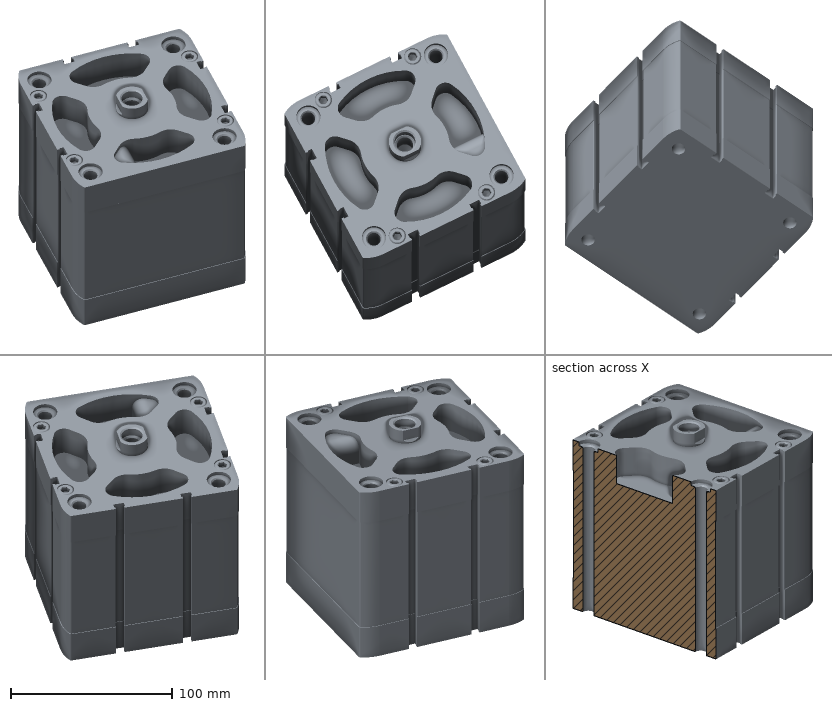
import cadquery as cq
import math

TOTAL_HEIGHT = 126.0
SIDE = 113.5
ROD_STANDOUT = 9.0
CAP_HEIGHT = 21.3
BARREL_INSET = 0.4

CORNER_CENTER_X = 44.5
CORNER_RADIUS = 22.9
CORNER_ROUND = 1.3

SLOT_OFFSET = 21.4
SLOT_LIP_WIDTH = 5.5
SLOT_INNER_WIDTH = 6.8
SLOT_LIP_DEPTH = 1.6
SLOT_DEPTH = 4.5
SLOT_CHAMFER = 0.3

POCKET_OUTER_RADIUS = 49.6
POCKET_INNER_RADIUS = 27.7
POCKET_WEB = 13.5
POCKET_DEPTH = 19.5
POCKET_OUTER_ROUND = 6.3
POCKET_INNER_ROUND = 10.7

BOSS_SIDE_Y = -12.0
BOSS_DROP = 2.9
BOSS_ROUND = 8.0

MOUNT_OFFSET = 44.5
MOUNT_RECESS_DIAMETER = 15.0
MOUNT_RECESS_DEPTH = 2.5
MOUNT_MOUTH_DIAMETER = 10.0
MOUNT_HOLE_DIAMETER = 8.3

SCREW_X = 31.1
SCREW_Y = 50.1
SCREW_SEAT_DIAMETER = 10.7
SCREW_FACE_DIAMETER = 9.0
SCREW_MOUTH_DIAMETER = 6.0
SCREW_HEX = 5.0
SCREW_SOCKET_DEPTH = 3.8
SCREW_TIP_DEPTH = 1.0

ROD_DIAMETER = 20.0
ROD_FLATS = 17.0
ROD_FLAT_HEIGHT = 6.8
ROD_MOUTH_DIAMETER = 15.0
ROD_RECESS_DIAMETER = 13.0
ROD_MOUTH_DEPTH = 0.6
ROD_RECESS_DEPTH = 5.9
ROD_THREAD_DIAMETER = 12.0
ROD_CORE_DIAMETER = 10.1
ROD_HOLE_DEPTH = 20.2

HALF_SIDE = SIDE / 2
HOUSING_TOP = TOTAL_HEIGHT - ROD_STANDOUT
ROD_BOTTOM = HOUSING_TOP - CAP_HEIGHT
BARREL_HEIGHT = HOUSING_TOP - 2 * CAP_HEIGHT
HEX_ANGLE = 30
DRILL_POINT_SLOPE = math.tan(math.radians(30))


def revolved(profile, x=0, y=0):
    """Solid of revolution about a vertical axis from (radius, z) points."""
    return cq.Workplane("XZ").polyline(profile).close().revolve(360, (0, 0), (0, 1)).translate((x, y, 0))


def prism(points, bottom, height):
    """Upright prism over a closed polygon."""
    return cq.Workplane("XY").workplane(offset=bottom).polyline(points).close().extrude(height)


def rotated(body, angle):
    """Copy of a body, rotated about the Z axis."""
    return body.rotate((0, 0, 0), (0, 0, 1), angle)


def housing_block(inset, bottom, height):
    """Prism with the housing outline, shrunk by `inset` on every side."""
    half = HALF_SIDE - inset
    radius = CORNER_RADIUS - inset
    center_y = HALF_SIDE - CORNER_RADIUS
    end_y = center_y + math.sqrt(radius**2 - (half - CORNER_CENTER_X) ** 2)

    outline = (
        cq.Workplane("XY")
        .workplane(offset=bottom)
        .moveTo(-CORNER_CENTER_X, half)
        .lineTo(CORNER_CENTER_X, half)
        .radiusArc((half, end_y), radius)
        .lineTo(half, -end_y)
        .radiusArc((CORNER_CENTER_X, -half), radius)
        .lineTo(-CORNER_CENTER_X, -half)
        .radiusArc((-half, -end_y), radius)
        .lineTo(-half, end_y)
        .radiusArc((-CORNER_CENTER_X, half), radius)
        .close()
    )
    return outline.extrude(height).edges("|Z and (<X or >X)").fillet(CORNER_ROUND)


def sensor_slots():
    """Pair of T-slots in the -Y side; on the barrel the floor is deeper and the lips are chamfered."""
    lip = SLOT_LIP_WIDTH / 2
    inner = SLOT_INNER_WIDTH / 2
    face_y = -HALF_SIDE
    lip_y = face_y + SLOT_LIP_DEPTH
    floor_y = face_y + SLOT_DEPTH
    t_shape = [
        (-lip, face_y), (-lip, lip_y), (-inner, lip_y), (-inner, floor_y),
        (inner, floor_y), (inner, lip_y), (lip, lip_y), (lip, face_y),
    ]

    barrel_y = face_y + BARREL_INSET
    barrel_floor_y = floor_y + BARREL_INSET
    barrel_floor = [(-inner, lip_y), (-inner, barrel_floor_y), (inner, barrel_floor_y), (inner, lip_y)]
    barrel_mouth = [
        (-lip - SLOT_CHAMFER, barrel_y), (-lip, barrel_y + SLOT_CHAMFER),
        (lip, barrel_y + SLOT_CHAMFER), (lip + SLOT_CHAMFER, barrel_y),
    ]

    slot = prism(t_shape, 0, HOUSING_TOP)
    slot = slot.union(prism(barrel_floor, CAP_HEIGHT, BARREL_HEIGHT))
    slot = slot.union(prism(barrel_mouth, CAP_HEIGHT, BARREL_HEIGHT))
    return slot.translate((-SLOT_OFFSET, 0, 0)).union(slot.translate((SLOT_OFFSET, 0, 0)))


def kidney_pocket():
    """Ring sector around +X, bounded by two walls along the diagonals, with rounded corners."""
    floor_z = HOUSING_TOP - POCKET_DEPTH
    reach = POCKET_OUTER_RADIUS
    apex_x = POCKET_WEB / 2 * math.sqrt(2)
    ring = (
        cq.Workplane("XY")
        .workplane(offset=floor_z)
        .circle(POCKET_OUTER_RADIUS)
        .circle(POCKET_INNER_RADIUS)
        .extrude(POCKET_DEPTH)
    )
    wedge = prism([(apex_x, 0), (apex_x + reach, reach), (apex_x + reach, -reach)], floor_z, POCKET_DEPTH)
    pocket = ring.intersect(wedge)
    pocket = pocket.edges("|Z and (<Y or >Y)").fillet(POCKET_OUTER_ROUND)
    return pocket.edges("|Z and <X").fillet(POCKET_INNER_ROUND)


def port_boss():
    """Block along X that fills the -Y end of the +X pocket, with its upper +Y edge rounded."""
    height = POCKET_DEPTH - BOSS_DROP
    width = POCKET_OUTER_RADIUS + BOSS_SIDE_Y
    block = cq.Workplane("XY").box(POCKET_OUTER_RADIUS, width, height, centered=False)
    block = block.edges(">Y and >Z").fillet(BOSS_ROUND)
    return block.translate((0, BOSS_SIDE_Y - width, HOUSING_TOP - POCKET_DEPTH))


def mounting_hole(x, y):
    """Through hole with a shallow recess and a 45 degree chamfer at its mouth."""
    recess_z = HOUSING_TOP - MOUNT_RECESS_DEPTH
    mouth = MOUNT_MOUTH_DIAMETER / 2
    hole = MOUNT_HOLE_DIAMETER / 2
    recess = MOUNT_RECESS_DIAMETER / 2
    profile = [
        (0, 0), (hole, 0), (hole, recess_z - (mouth - hole)), (mouth, recess_z),
        (recess, recess_z), (recess, HOUSING_TOP), (0, HOUSING_TOP),
    ]
    return revolved(profile, x, y)


def screw_relief(x, y):
    """Groove around the bevelled screw head, and the hexagonal socket in the head."""
    top = HOUSING_TOP
    seat = SCREW_SEAT_DIAMETER / 2
    face = SCREW_FACE_DIAMETER / 2
    groove = revolved([(face, top), (seat, top), (seat, top - (seat - face))], x, y)

    mouth = SCREW_MOUTH_DIAMETER / 2
    flat = SCREW_HEX / 2
    corner_diameter = SCREW_HEX / math.cos(math.pi / 6)
    floor = top - SCREW_SOCKET_DEPTH
    hexagon = (
        cq.Workplane("XY")
        .workplane(offset=floor)
        .transformed(rotate=(0, 0, HEX_ANGLE))
        .polygon(6, corner_diameter)
        .extrude(SCREW_SOCKET_DEPTH)
        .translate((x, y, 0))
    )
    bevel_z = top - (mouth - flat)
    bevel = revolved([(0, top), (mouth, top), (flat, bevel_z), (0, bevel_z)], x, y)
    tip = revolved([(0, floor), (flat, floor), (0, floor - SCREW_TIP_DEPTH)], x, y)
    return groove.union(hexagon).union(bevel).union(tip)


def rod_blank(height):
    """Plain rod cylinder that stands on the seat in the top cover."""
    return cq.Workplane("XY").workplane(offset=ROD_BOTTOM).circle(ROD_DIAMETER / 2).extrude(height)


def make_housing():
    """Bottom cover, barrel and top cover as one body, with all its cut-outs."""
    housing = housing_block(0, 0, CAP_HEIGHT)
    housing = housing.union(housing_block(BARREL_INSET, CAP_HEIGHT, BARREL_HEIGHT))
    housing = housing.union(housing_block(0, CAP_HEIGHT + BARREL_HEIGHT, CAP_HEIGHT))

    slots = sensor_slots()
    for angle in (0, 180, -90):
        housing = housing.cut(rotated(slots, angle))

    pocket = kidney_pocket()
    housing = housing.cut(pocket.cut(port_boss()))
    for angle in (90, 180, -90):
        housing = housing.cut(rotated(pocket, angle))

    for x_sign in (-1, 1):
        for y_sign in (-1, 1):
            housing = housing.cut(mounting_hole(x_sign * MOUNT_OFFSET, y_sign * MOUNT_OFFSET))
            housing = housing.cut(screw_relief(x_sign * SCREW_X, y_sign * SCREW_Y))

    return housing.cut(rod_blank(CAP_HEIGHT))


def wrench_flat():
    """Material beside the +Y flat, with a floor that slopes down outwards at 45 degrees."""
    flat_y = ROD_FLATS / 2
    outer_y = ROD_DIAMETER
    floor_z = TOTAL_HEIGHT - ROD_FLAT_HEIGHT
    profile = [
        (flat_y, TOTAL_HEIGHT), (flat_y, floor_z),
        (outer_y, floor_z - (outer_y - flat_y)), (outer_y, TOTAL_HEIGHT),
    ]
    return cq.Workplane("YZ").polyline(profile).close().extrude(ROD_DIAMETER / 2, both=True)


def rod_hole():
    """Stepped blind hole from the rod's top end, with a drill point."""
    mouth = ROD_MOUTH_DIAMETER / 2
    recess = ROD_RECESS_DIAMETER / 2
    thread = ROD_THREAD_DIAMETER / 2
    core = ROD_CORE_DIAMETER / 2
    top = TOTAL_HEIGHT
    recess_top = top - ROD_MOUTH_DEPTH
    recess_floor = top - ROD_RECESS_DEPTH
    floor = top - ROD_HOLE_DEPTH
    tip = floor - core * DRILL_POINT_SLOPE
    profile = [
        (0, tip), (core, floor), (core, recess_floor - (thread - core)), (thread, recess_floor),
        (recess, recess_floor), (recess, recess_top), (mouth, top), (0, top),
    ]
    return revolved(profile)


def make_rod():
    """Piston rod with two wrench flats and a stepped hole in its top end."""
    rod = rod_blank(TOTAL_HEIGHT - ROD_BOTTOM)
    flat = wrench_flat()
    for angle in (0, 180):
        rod = rod.cut(rotated(flat, angle))
    return rod.cut(rod_hole())


housing = make_housing()
rod = make_rod()
result = cq.Compound.makeCompound([housing.val(), rod.val()])